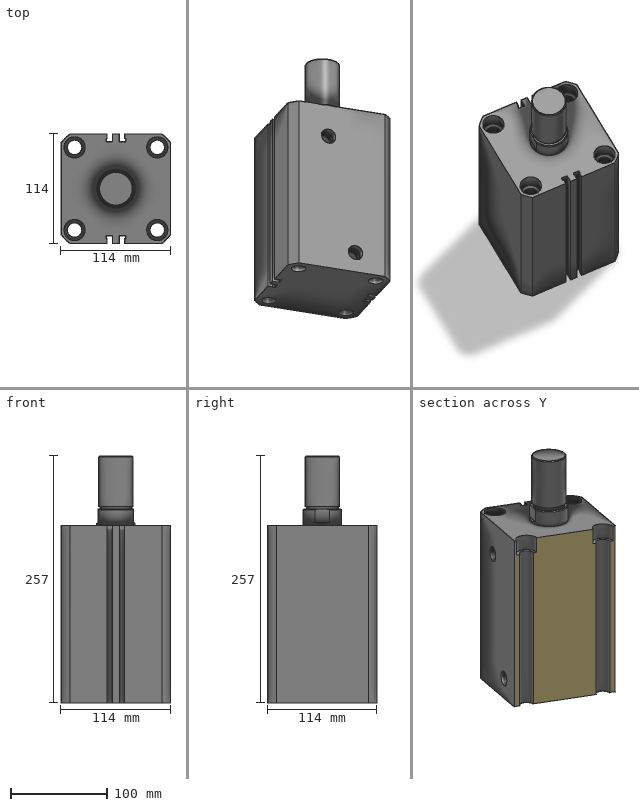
import cadquery as cq

body_width = 114.0
body_height = 185.0
corner_round_radius = 74.5

mount_pitch = 86.0
mount_hole_diameter = 15.0
counterbore_diameter = 22.0
counterbore_depth = 16.0

groove_inner_x = 3.6
groove_outer_x = 9.1
groove_depth = 8.0
undercut_outer_x = 10.0
undercut_start_depth = 5.0

port_diameter = 14.6
port_mouth_diameter = 15.7
port_mouth_depth = 8.0
port_depth = 16.0
port_offset_y = 15.0
port_from_top = 35.0
port_from_bottom = 22.0

rod_length = 72.0
collar_diameter = 40.0
collar_length = 17.0
collar_chamfer = 1.0
neck_diameter = 33.4
shank_diameter = 36.0
shank_length = 52.3
shank_chamfer = 1.0

flats_width = 37.0
flats_start = 3.2
flat_depth = (collar_diameter - flats_width) / 2


def make_block():
    square = cq.Workplane("XY").rect(body_width, body_width).extrude(body_height)
    envelope = cq.Workplane("XY").circle(corner_round_radius).extrude(body_height)
    return square.intersect(envelope)


def make_groove():
    """One groove on the +X half of the +Y side, cut along the full height."""
    face_y = body_width / 2
    floor_y = face_y - groove_depth
    undercut_y = face_y - undercut_start_depth
    return (
        cq.Workplane("XY")
        .moveTo(groove_inner_x, face_y)
        .lineTo(groove_inner_x, floor_y)
        .lineTo(undercut_outer_x, floor_y)
        .lineTo(undercut_outer_x, undercut_y)
        .lineTo(groove_outer_x, undercut_y)
        .lineTo(groove_outer_x, face_y)
        .close()
        .extrude(body_height)
    )


def make_port(y, z):
    """A blind port with a wider mouth, entering from the -X face."""
    entry = cq.Workplane("YZ", origin=(-body_width / 2, y, z))
    bore = entry.circle(port_diameter / 2).extrude(port_depth)
    mouth = entry.circle(port_mouth_diameter / 2).extrude(port_mouth_depth)
    return bore.union(mouth)


def make_housing():
    housing = make_block()
    housing = (
        housing.faces(">Z").workplane(origin=(0, 0, body_height))
        .rect(mount_pitch, mount_pitch, forConstruction=True)
        .vertices()
        .cboreHole(mount_hole_diameter, counterbore_diameter, counterbore_depth)
    )
    groove = make_groove()
    groove_pair = groove.union(groove.mirror("YZ"))
    housing = housing.cut(groove_pair).cut(groove_pair.mirror("XZ"))
    housing = housing.cut(make_port(port_offset_y, body_height - port_from_top))
    return housing.cut(make_port(-port_offset_y, port_from_bottom))


def make_flat_cutter():
    """Removes one collar side at +X, leaving a flat with a 45 degree lower run-out."""
    flat_x = flats_width / 2
    outer_x = collar_diameter / 2
    flat_bottom_z = body_height + flats_start
    collar_top_z = body_height + collar_length
    return (
        cq.Workplane("XZ")
        .polyline([
            (flat_x, collar_top_z),
            (flat_x, flat_bottom_z),
            (outer_x, flat_bottom_z - flat_depth),
            (outer_x, collar_top_z),
        ])
        .close()
        .extrude(collar_diameter / 2, both=True)
    )


def make_rod():
    collar_radius = collar_diameter / 2
    neck_radius = neck_diameter / 2
    shank_radius = shank_diameter / 2
    rod = (
        cq.Workplane("XZ")
        .polyline([
            (0, 0),
            (collar_radius, 0),
            (collar_radius, collar_length - collar_chamfer),
            (collar_radius - collar_chamfer, collar_length),
            (neck_radius, collar_length),
            (neck_radius, rod_length - shank_length),
            (shank_radius, rod_length - shank_length),
            (shank_radius, rod_length - shank_chamfer),
            (shank_radius - shank_chamfer, rod_length),
            (0, rod_length),
        ])
        .close()
        .revolve(360, (0, 0, 0), (0, 1, 0))
        .translate((0, 0, body_height))
    )
    flat_cutter = make_flat_cutter()
    return rod.cut(flat_cutter).cut(flat_cutter.mirror("YZ"))


housing = make_housing()
piston_rod = make_rod()

result = cq.Compound.makeCompound([housing.val(), piston_rod.val()])